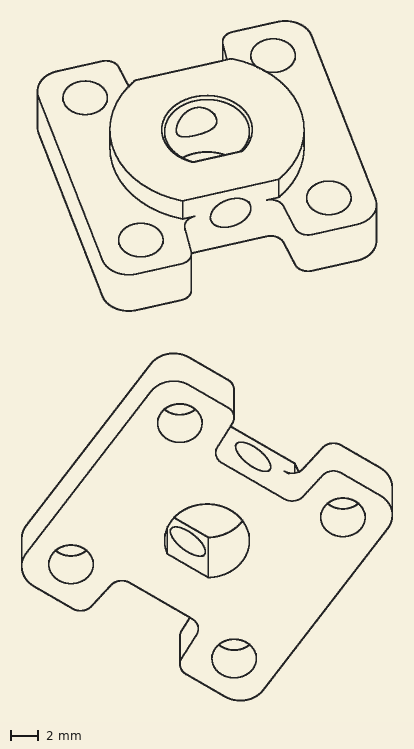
import cadquery as cq
import math

plate_width = 20.15
plate_length = 20.55
plate_thickness = 4.0
corner_radius = 2.0
mount_hole_diameter = 3.2
mount_hole_spacing = 14.13

overall_height = 6.0
boss_diameter = 14.0
boss_flat_width = 12.0

notch_mouth_half_width = 3.98
notch_taper_angle = 5.0
notch_edge_radius = 1.0

bore_diameter = 6.12
bore_flat_offset = 2.49
bore_chamfer = 0.2
cross_hole_diameter = 3.05
cross_hole_height = 3.5


def make_plate():
    """Plate with rounded corners and a tapered notch on each X side."""
    blank = (
        cq.Workplane("XY")
        .rect(plate_width, plate_length)
        .extrude(plate_thickness)
        .edges("|Z")
        .fillet(corner_radius)
    )
    mouth_x = plate_width / 2
    floor_x = boss_flat_width / 2
    taper = (mouth_x - floor_x) * math.tan(math.radians(notch_taper_angle))
    floor_half_width = notch_mouth_half_width - taper
    for side in (-1, 1):
        notch = (
            cq.Workplane("XY")
            .moveTo(side * mouth_x, -notch_mouth_half_width)
            .lineTo(side * floor_x, -floor_half_width)
            .lineTo(side * floor_x, floor_half_width)
            .lineTo(side * mouth_x, notch_mouth_half_width)
            .close()
            .extrude(plate_thickness)
        )
        blank = blank.cut(notch)

    notch_zone = cq.selectors.BoxSelector(
        (-plate_width, -boss_diameter / 2, 0),
        (plate_width, boss_diameter / 2, plate_thickness),
    )
    return blank.edges("|Z").edges(notch_zone).fillet(notch_edge_radius)


def make_boss():
    """Round boss trimmed to two flats that line up with the notch floors."""
    boss_height = overall_height - plate_thickness
    disc = (
        cq.Workplane("XY", origin=(0, 0, plate_thickness))
        .circle(boss_diameter / 2)
        .extrude(boss_height)
    )
    trim = cq.Workplane("XY").box(boss_flat_width, boss_diameter, 2 * overall_height)
    return disc.intersect(trim)


def make_bore():
    """D-shaped cutter with its flat on +X."""
    bore_radius = bore_diameter / 2
    flat_half_length = math.sqrt(bore_radius**2 - bore_flat_offset**2)
    profile = (
        cq.Workplane("XY")
        .moveTo(bore_flat_offset, -flat_half_length)
        .lineTo(bore_flat_offset, flat_half_length)
        .threePointArc((-bore_radius, 0), (bore_flat_offset, -flat_half_length))
        .close()
    )
    return profile.extrude(overall_height)


def make_cross_hole():
    """Cutter along X through both flats of the boss."""
    return (
        cq.Workplane("YZ", origin=(-plate_width / 2, 0, 0))
        .center(0, cross_hole_height)
        .circle(cross_hole_diameter / 2)
        .extrude(plate_width)
    )


def make_mount_holes():
    """Four cutters on a square pattern."""
    return (
        cq.Workplane("XY")
        .rect(mount_hole_spacing, mount_hole_spacing, forConstruction=True)
        .vertices()
        .circle(mount_hole_diameter / 2)
        .extrude(plate_thickness)
    )


body = make_plate().union(make_boss()).cut(make_bore())

rim_zone = cq.selectors.BoxSelector(
    (-bore_diameter / 2, -bore_diameter / 2, plate_thickness),
    (bore_diameter / 2, bore_diameter / 2, overall_height + bore_chamfer),
)
body = body.faces(">Z").edges(rim_zone).chamfer(bore_chamfer)

result = body.cut(make_mount_holes()).cut(make_cross_hole())